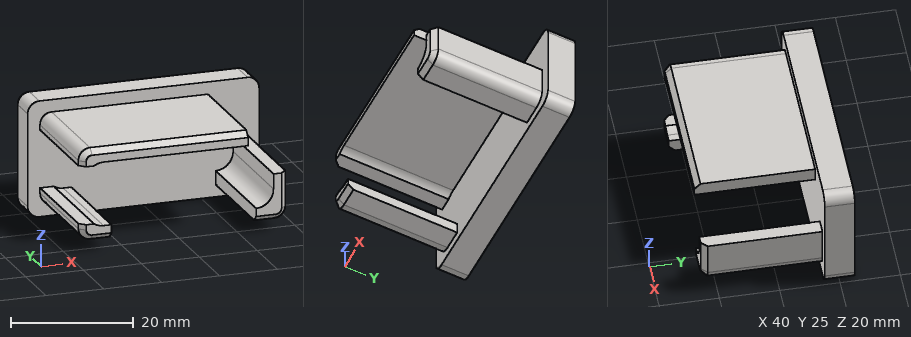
import cadquery as cq
import math

PLATE_WIDTH = 40.0
PLATE_HEIGHT = 20.0
PLATE_THICKNESS = 5.0
CORNER_RADIUS = 2.0

RIB_INSET = 2.1
RIB_LENGTH = 20.0
TIP_CHAMFER = 1.0

RIB_THICKNESS = 2.4
INNER_RADIUS = 3.0
LEFT_LIP_HEIGHT = 2.9
LEFT_ARC_END = 4.0
TOP_RIB_WIDTH = 29.0
CORNER_RIB_HEIGHT = 8.0

FOOT_WIDTH = RIB_THICKNESS + INNER_RADIUS

PLUG_WIDTH = PLATE_WIDTH - 2 * RIB_INSET
PLUG_HEIGHT = PLATE_HEIGHT - 2 * RIB_INSET
RIGHT = PLUG_WIDTH / 2
LEFT = -RIGHT
BOTTOM = -PLUG_HEIGHT / 2


def rounded_block(width, height, depth):
    """Block with rounded Y edges, running from Y = 0 toward -Y (or +Y if depth is negative)."""
    return cq.Workplane("XZ").rect(width, height).extrude(depth).edges("|Y").fillet(CORNER_RADIUS)


def left_rib(width):
    """Bottom left rib whose lip at the left end drops along an arc to the rib thickness."""
    def arc_point(height):
        below_center = FOOT_WIDTH - height
        run = math.sqrt(INNER_RADIUS**2 - below_center**2)
        return (LEFT + LEFT_ARC_END - run, BOTTOM + height)

    middle_height = (RIB_THICKNESS + LEFT_LIP_HEIGHT) / 2
    return (
        cq.Workplane("XZ")
        .moveTo(LEFT, BOTTOM)
        .lineTo(LEFT + width, BOTTOM)
        .lineTo(LEFT + width, BOTTOM + RIB_THICKNESS)
        .lineTo(LEFT + LEFT_ARC_END, BOTTOM + RIB_THICKNESS)
        .threePointArc(arc_point(middle_height), arc_point(LEFT_LIP_HEIGHT))
        .lineTo(LEFT, BOTTOM + LEFT_LIP_HEIGHT)
        .close()
        .extrude(RIB_LENGTH)
    )


def corner_rib():
    """L-shaped rib in the bottom right corner with a rounded inner corner."""
    return (
        cq.Workplane("XZ")
        .moveTo(RIGHT, BOTTOM)
        .lineTo(RIGHT, BOTTOM + CORNER_RIB_HEIGHT)
        .lineTo(RIGHT - RIB_THICKNESS, BOTTOM + CORNER_RIB_HEIGHT)
        .lineTo(RIGHT - RIB_THICKNESS, BOTTOM + FOOT_WIDTH)
        .radiusArc((RIGHT - FOOT_WIDTH, BOTTOM + RIB_THICKNESS), INNER_RADIUS)
        .lineTo(RIGHT - FOOT_WIDTH, BOTTOM)
        .close()
        .extrude(RIB_LENGTH)
    )


plate = rounded_block(PLATE_WIDTH, PLATE_HEIGHT, -PLATE_THICKNESS)

envelope = rounded_block(PLUG_WIDTH, PLUG_HEIGHT, RIB_LENGTH).faces("<Y").chamfer(TIP_CHAMFER)

bottom_rib = left_rib(FOOT_WIDTH)
top_rib = left_rib(TOP_RIB_WIDTH).mirror("XY")

result = plate
for rib in (bottom_rib, top_rib, corner_rib()):
    result = result.union(rib.intersect(envelope))